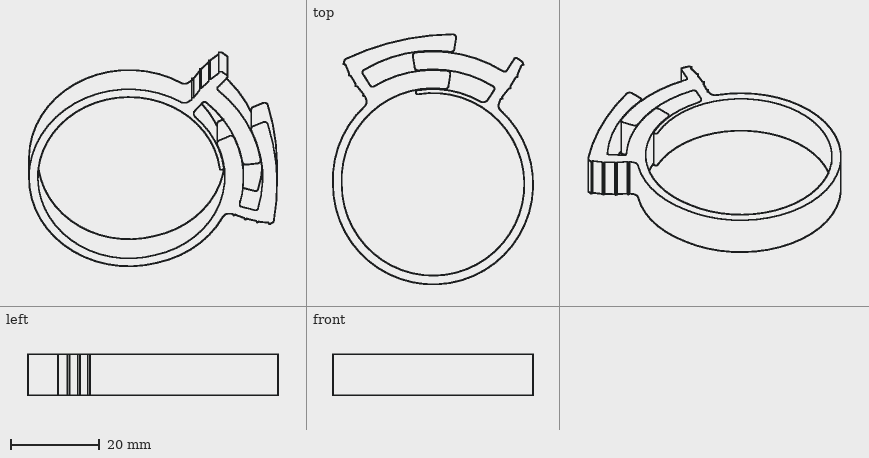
import cadquery as cq
import math


height = 9.3
bore_radius = 20.5
band_outer_radius = 22.53
left_lift = 1.05

tongue_outer_radius = 21.45
inner_arm_outer_radius = 25.74
middle_arm_inner_radius = 25.82
middle_arm_outer_radius = 29.92
outer_arm_inner_radius = 30.02

back_radius = 57.7
back_direction = 102.0
back_nearest_radius = 33.23

left_arm_end = 81.0
middle_arm_end = 99.0
tongue_end = 100.6
left_stem_face = 122.4
right_stem_face = 57.1
band_joint = 55.0

stub_radius = 34.1
tooth_count = 4
tooth_first_heading = 64.5
tooth_turn = 6.2
tooth_step = 0.45
tooth_drop = 0.1
tooth_lip_width = 0.1
tooth_lip_height = 0.4
left_first_tip = (-20.17, 27.0)
left_tooth_pitch = 2.8
right_first_tip = (20.35, 26.85)
right_tooth_pitch = 3.0
neck_heading = 70.0
neck_length = 2.2
flank_lead = 3.0
flank_lean = 0.9

arm_end_round = 0.8
tongue_end_round = 0.35
pocket_round = 0.6
right_pocket_root_round = 1.3
stub_round = 0.45
neck_round = 1.4

overlap = 1.0
trim_radius = 40.0


def polar(radius, degrees, center=(0, 0)):
    angle = math.radians(degrees)
    return (center[0] + radius * math.cos(angle), center[1] + radius * math.sin(angle))


def disc(radius, center=(0, 0)):
    return cq.Workplane("XY").center(*center).circle(radius).extrude(height)


def sector(inner, outer, start, end):
    """Arc-shaped bar running counter-clockwise from the start to the end direction."""
    middle = (start + end) / 2
    return (
        cq.Workplane("XY")
        .moveTo(*polar(inner, start))
        .lineTo(*polar(outer, start))
        .threePointArc(polar(outer, middle), polar(outer, end))
        .lineTo(*polar(inner, end))
        .threePointArc(polar(inner, middle), polar(inner, start))
        .close()
        .extrude(height)
    )


def round_corners(body, points, radius):
    """Round the upright edges nearest to the given XY points."""
    for x, y in points:
        nearest = cq.NearestToPointSelector((x, y, height / 2))
        body = body.edges("|Z").edges(nearest).fillet(radius)
    return body


def flank_points(first_tip, pitch, side):
    """Toothed stem flank from top to bottom; side is -1 for the left stem, +1 for the right."""

    def down(point, heading, length):
        dx, dy = polar(length, heading)
        return (point[0] - side * dx, point[1] - dy)

    tip = first_tip
    heading = tooth_first_heading
    points = [(tip[0] - side * flank_lean, tip[1] + flank_lead)]
    for index in range(tooth_count):
        if index > 0:
            tip = down(tip, heading, pitch)
            heading -= tooth_turn
            points.append((tip[0] - side * tooth_lip_width, tip[1] + tooth_lip_height))
        valley = (tip[0] - side * tooth_step, tip[1] - tooth_drop)
        points += [tip, valley]
    points.append(down(valley, neck_heading, neck_length))
    return points


def stem(flank, face_direction, root_radius):
    corners = flank + [polar(root_radius, face_direction), polar(trim_radius, face_direction)]
    return cq.Workplane("XY").polyline(corners).close().extrude(height)


lifted_center = (0, left_lift)
lifted_bore_radius = math.hypot(bore_radius, left_lift)
lifted_outer_radius = math.hypot(band_outer_radius, left_lift)
back_center = polar(back_nearest_radius - back_radius, back_direction)
left_flank = flank_points(left_first_tip, left_tooth_pitch, -1)
right_flank = flank_points(right_first_tip, right_tooth_pitch, 1)


def band():
    main = sector(bore_radius, band_outer_radius, 180, 360 + band_joint)
    middle = (180 + left_stem_face) / 2
    lifted = (
        cq.Workplane("XY")
        .moveTo(-bore_radius, 0)
        .lineTo(-band_outer_radius, 0)
        .threePointArc(
            polar(lifted_outer_radius, middle, lifted_center),
            polar(lifted_outer_radius, left_stem_face, lifted_center),
        )
        .lineTo(*polar(lifted_bore_radius, left_stem_face, lifted_center))
        .threePointArc(polar(lifted_bore_radius, middle, lifted_center), (-bore_radius, 0))
        .close()
        .extrude(height)
    )
    return main.union(lifted)


def left_hook():
    stem_overlap = left_stem_face + overlap
    outer_arm = sector(outer_arm_inner_radius, trim_radius, left_arm_end, stem_overlap)
    inner_arm = sector(bore_radius, inner_arm_outer_radius, left_arm_end, stem_overlap)
    body = stem(left_flank, left_stem_face, band_outer_radius).union(outer_arm).union(inner_arm)
    body = body.intersect(disc(back_radius, back_center)).cut(disc(lifted_bore_radius, lifted_center))
    arm_corners = [
        polar(stub_radius, left_arm_end),
        polar(outer_arm_inner_radius, left_arm_end),
        polar(inner_arm_outer_radius, left_arm_end),
        polar(lifted_bore_radius + left_lift, left_arm_end),
        (left_first_tip[0], left_first_tip[1] + arm_end_round),
    ]
    pocket_corners = [
        polar(outer_arm_inner_radius, left_stem_face),
        polar(inner_arm_outer_radius, left_stem_face),
    ]
    body = round_corners(body, arm_corners, arm_end_round)
    return round_corners(body, pocket_corners, pocket_round)


def right_hook():
    tongue = sector(bore_radius, tongue_outer_radius, band_joint, tongue_end)
    middle_arm = sector(
        middle_arm_inner_radius, middle_arm_outer_radius, right_stem_face - overlap, middle_arm_end
    )
    body = stem(right_flank, right_stem_face, bore_radius + overlap / 2).intersect(disc(stub_radius))
    body = body.union(middle_arm).union(tongue)
    arm_corners = [
        polar(middle_arm_outer_radius, middle_arm_end),
        polar(middle_arm_inner_radius, middle_arm_end),
    ]
    tongue_corners = [polar(tongue_outer_radius, tongue_end), polar(bore_radius, tongue_end)]
    stem_corners = [
        polar(middle_arm_outer_radius, right_stem_face),
        polar(middle_arm_inner_radius, right_stem_face),
    ]
    stub_corners = [
        polar(stub_radius, right_stem_face),
        (right_first_tip[0], right_first_tip[1] + stub_round),
    ]
    body = round_corners(body, arm_corners, arm_end_round)
    body = round_corners(body, tongue_corners, tongue_end_round)
    body = round_corners(body, stem_corners, pocket_round)
    body = round_corners(body, stub_corners, stub_round)
    pocket_root = [polar(tongue_outer_radius, right_stem_face)]
    return round_corners(body, pocket_root, right_pocket_root_round)


clamp = band().union(left_hook()).union(right_hook())
result = round_corners(clamp, [left_flank[-1], right_flank[-1]], neck_round)